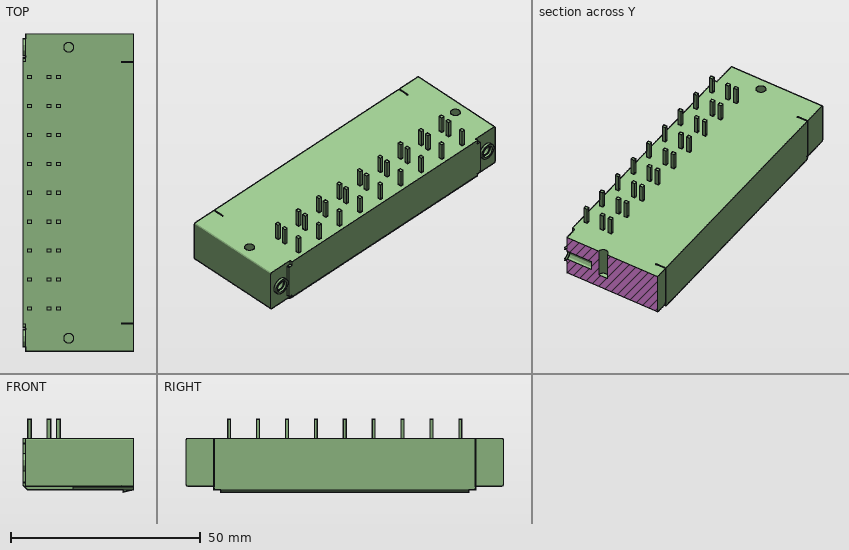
import cadquery as cq

length_x = 29.25
length_y = 83.8
front_x = -length_x / 2
back_x = length_x / 2

block_height = 12.65
block_setback = 0.75
block_fillet = 0.5

housing_half_width = 34.6
housing_drop = 0.9
front_chamfer = 1.2
relief_start_x = -1.3
relief_height = 0.75
relief_width = 0.3

tab_reach = 1.1
tab_top_gap = 1.25
tab_bottom_gap = 0.9
tab_chamfer = 0.25

gap_length = 3.2
gap_width = 0.25

ridge_half_width = 32.8
ridge_length = 2.8
ridge_height = 0.7

hole_y = 38.4
hole_x = -2.5
hole_diameter = 2.6
hole_depth = 8.4
bushing_diameter = 4.5
counterbore_diameter = 3.35
counterbore_depth = 0.75
bore_diameter = 2.6
bore_depth = 8.4

pin_pitch = 7.6
pins_per_row = 9
pin_height = 5.0
pin_size_x = 1.0
pin_size_y = 0.8
pin_rows_from_front = (1.8, 6.9, 9.4)


def box(x_range, y_range, z_range):
    """Axis-aligned box spanning the given (low, high) ranges."""
    sizes = [high - low for low, high in (x_range, y_range, z_range)]
    corner = (x_range[0], y_range[0], z_range[0])
    return cq.Workplane("XY").box(*sizes, centered=False).translate(corner)


def make_housing():
    housing = box(
        (front_x, back_x),
        (-housing_half_width, housing_half_width),
        (-housing_drop, block_height),
    )
    housing = housing.edges("<X and <Z").chamfer(front_chamfer)
    for side in (-1, 1):
        edge_y = side * housing_half_width
        bevel = (
            cq.Workplane("YZ", origin=(relief_start_x, 0, 0))
            .moveTo(edge_y, -housing_drop)
            .lineTo(edge_y - side * relief_width, -housing_drop)
            .lineTo(edge_y, -housing_drop + relief_height)
            .close()
            .extrude(back_x - relief_start_x)
        )
        housing = housing.cut(bevel)
    return housing


def make_tabs():
    """One strip flush with the housing front face whose two ends form the tabs."""
    half_width = housing_half_width + tab_reach
    strip = box(
        (front_x, front_x + block_setback),
        (-half_width, half_width),
        (tab_bottom_gap, block_height - tab_top_gap),
    )
    return strip.edges("|X").chamfer(tab_chamfer)


def make_ridge():
    return (
        cq.Workplane("XZ", origin=(0, ridge_half_width, 0))
        .moveTo(back_x, -housing_drop)
        .lineTo(back_x - ridge_length, -housing_drop)
        .lineTo(back_x - ridge_length, -housing_drop - ridge_height)
        .close()
        .extrude(2 * ridge_half_width)
    )


def make_end_block():
    """End block on the +Y side with its fixing hole and bushing."""
    block_front = front_x + block_setback
    block = box((block_front, back_x), (housing_half_width, length_y / 2), (0, block_height))
    block = block.edges(">Y and |X").fillet(block_fillet)

    fixing_hole = (
        cq.Workplane("XY", origin=(hole_x, hole_y, block_height))
        .circle(hole_diameter / 2)
        .extrude(-hole_depth)
    )
    bushing_plane = cq.Workplane("YZ", origin=(front_x, hole_y, block_height / 2))
    bushing = bushing_plane.circle(bushing_diameter / 2).extrude(block_setback)
    counterbore = bushing_plane.circle(counterbore_diameter / 2).extrude(counterbore_depth)
    bore = bushing_plane.circle(bore_diameter / 2).extrude(bore_depth)
    return block.cut(fixing_hole).union(bushing).cut(counterbore).cut(bore)


def make_gap():
    return box(
        (back_x - gap_length, back_x),
        (housing_half_width - gap_width, housing_half_width),
        (0, block_height),
    )


def make_pins():
    positions = [
        (front_x + offset, (i - (pins_per_row - 1) / 2) * pin_pitch)
        for offset in pin_rows_from_front
        for i in range(pins_per_row)
    ]
    return (
        cq.Workplane("XY", origin=(0, 0, block_height))
        .pushPoints(positions)
        .rect(pin_size_x, pin_size_y)
        .extrude(pin_height)
    )


end_block = make_end_block()
gap = make_gap()
housing = (
    make_housing()
    .union(make_ridge())
    .union(make_tabs())
    .union(make_pins())
    .cut(gap)
    .cut(gap.mirror("XZ"))
)
result = housing.union(end_block, clean=False).union(end_block.mirror("XZ"), clean=False)